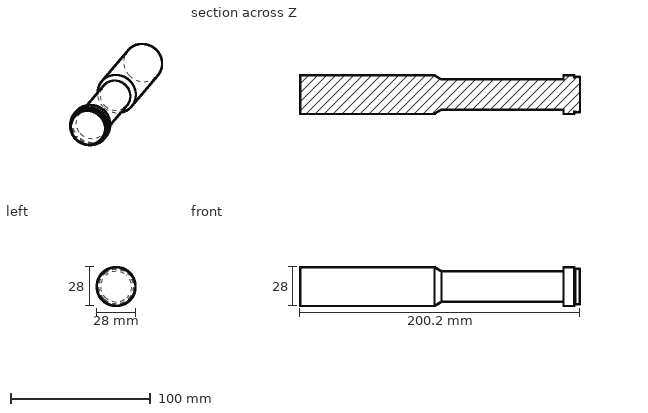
import cadquery as cq
total_length = 200.2

body_diameter = 28.0
shank_diameter = 22.0
collar_diameter = body_diameter
neck_diameter = 24.6
spigot_diameter = 25.6

body_length = 96.0
taper_length = 5.0
collar_length = 8.0
neck_length = 0.75
spigot_length = 3.25

collar_shank_chamfer = 0.3
collar_neck_chamfer = 0.4
spigot_chamfer = 0.4

taper_end = body_length + taper_length
spigot_start = total_length - spigot_length
collar_end = spigot_start - neck_length
collar_start = collar_end - collar_length

body_radius = body_diameter / 2
shank_radius = shank_diameter / 2
collar_radius = collar_diameter / 2
neck_radius = neck_diameter / 2
spigot_radius = spigot_diameter / 2


def add_body_and_shank(outline):
    """Draw the plain body, the taper and the slimmer shank."""
    return (
        outline
        .lineTo(0, body_radius)
        .lineTo(body_length, body_radius)
        .lineTo(taper_end, shank_radius)
        .lineTo(collar_start, shank_radius)
    )


def add_collar(outline):
    """Draw the collar with a chamfer on both of its outer edges."""
    return (
        outline
        .lineTo(collar_start, collar_radius - collar_shank_chamfer)
        .lineTo(collar_start + collar_shank_chamfer, collar_radius)
        .lineTo(collar_end - collar_neck_chamfer, collar_radius)
        .lineTo(collar_end, collar_radius - collar_neck_chamfer)
    )


def add_neck_and_spigot(outline):
    """Draw the narrow relief behind the collar and the chamfered spigot."""
    return (
        outline
        .lineTo(collar_end, neck_radius)
        .lineTo(spigot_start, neck_radius)
        .lineTo(spigot_start, spigot_radius)
        .lineTo(total_length - spigot_chamfer, spigot_radius)
        .lineTo(total_length, spigot_radius - spigot_chamfer)
        .lineTo(total_length, 0)
    )


def make_turned_part():
    """Revolve the half outline of the stepped shaft about the X axis."""
    outline = cq.Workplane("XZ").moveTo(0, 0)
    outline = add_body_and_shank(outline)
    outline = add_collar(outline)
    outline = add_neck_and_spigot(outline)
    return outline.close().revolve(360, (0, 0, 0), (1, 0, 0))


result = make_turned_part()